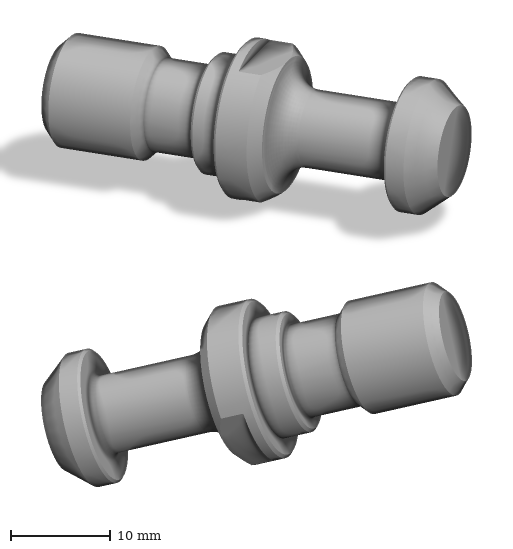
import cadquery as cq
import math

shank_dia = 11.75
relief_dia = 9.65
collar_dia = 12.52
flange_dia = 16.5
neck_dia = 8.0
head_dia = 13.9

shank_end = 11.2
collar_start = 16.75
flange_start = 20.0
flange_end = 24.9
head_start = 38.0
total_length = 43.05

shank_tip_length = 1.25
shank_tip_dia = 9.25
edge_bevel = 0.3
head_bevel = 0.25
relief_fillet = 0.2
flange_bevel = 1.2
flange_fillet = 2.7
neck_fillet = 0.55
head_cone_length = 2.8
head_tip_dia = 9.4

flat_width = 14.03
flat_start = 21.3

shank_r = shank_dia / 2
relief_r = relief_dia / 2
collar_r = collar_dia / 2
flange_r = flange_dia / 2
neck_r = neck_dia / 2
head_r = head_dia / 2


def arc_inset(radius):
    """Distance from either tangent line to the middle of a quarter-round fillet."""
    return radius * (1 - math.sqrt(0.5))


def make_body():
    """Revolve the half profile, drawn as (axial position, radius), about X."""
    profile = (
        cq.Workplane("XY")
        .lineTo(0, shank_tip_dia / 2)
        .lineTo(shank_tip_length, shank_r)
        .lineTo(shank_end - (shank_r - relief_r), shank_r)
        .lineTo(shank_end, relief_r)
        .lineTo(collar_start - relief_fillet, relief_r)
        .threePointArc(
            (collar_start - arc_inset(relief_fillet), relief_r + arc_inset(relief_fillet)),
            (collar_start, relief_r + relief_fillet),
        )
        .lineTo(collar_start, collar_r - edge_bevel)
        .lineTo(collar_start + edge_bevel, collar_r)
        .lineTo(flange_start, collar_r)
        .lineTo(flange_start, flange_r - edge_bevel)
        .lineTo(flange_start + edge_bevel, flange_r)
        .lineTo(flange_end - flange_bevel, flange_r)
        .lineTo(flange_end, flange_r - flange_bevel)
        .lineTo(flange_end, neck_r + flange_fillet)
        .threePointArc(
            (flange_end + arc_inset(flange_fillet), neck_r + arc_inset(flange_fillet)),
            (flange_end + flange_fillet, neck_r),
        )
        .lineTo(head_start - neck_fillet, neck_r)
        .threePointArc(
            (head_start - arc_inset(neck_fillet), neck_r + arc_inset(neck_fillet)),
            (head_start, neck_r + neck_fillet),
        )
        .lineTo(head_start, head_r - head_bevel)
        .lineTo(head_start + head_bevel, head_r)
        .lineTo(total_length - head_cone_length, head_r)
        .lineTo(total_length, head_tip_dia / 2)
        .lineTo(total_length, 0)
        .close()
    )
    return profile.revolve(360, (0, 0, 0), (1, 0, 0))


def make_flat_cutter(side):
    """Block that removes the flange beyond the flat on the +Z (1) or -Z (-1) side."""
    block_height = flange_dia - flat_width
    return cq.Workplane("XY").box(
        flange_end - flat_start, flange_dia, block_height, centered=(False, True, True)
    ).translate((flat_start, 0, side * (flat_width + block_height) / 2))


result = make_body()
for side in (1, -1):
    result = result.cut(make_flat_cutter(side))